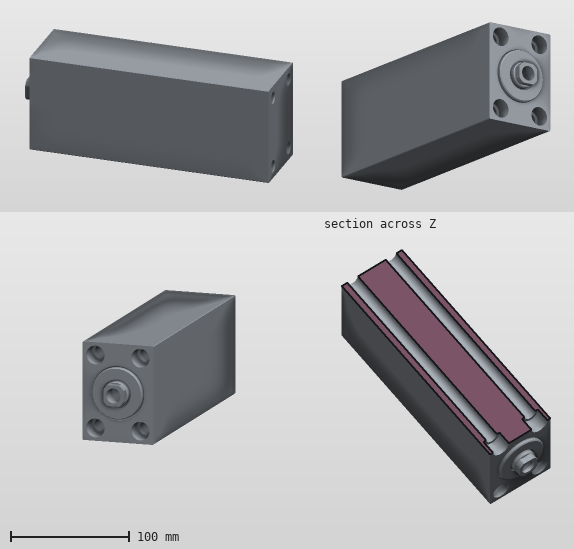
import cadquery as cq
import math

total_length = 225.0

rod_reach = 12.0
housing_width = 63.0
housing_height = 85.0
housing_length = total_length - rod_reach
edge_chamfer = 0.56

bolt_spacing_y = 40.0
bolt_spacing_z = 63.0
bolt_diameter = 10.8
bolt_head_diameter = 16.2
bolt_head_depth = 13.5

gland_diameter = 45.0
gland_reach = 3.0
gland_depth = 20.0
gland_chamfer = 1.0
pocket_chamfer = 1.0

rod_diameter = 22.0
rod_gap_diameter = 25.0
rod_gap_depth = 2.0
tip_diameter = 20.5
tip_length = 5.6
tip_across_flats = 18.0
rod_chamfer_axial = 0.7
bore_diameter = 12.8
bore_depth = 15.8
drill_point_angle = 118.0

front_x = -housing_length / 2
tip_x = front_x - rod_reach
gland_face_x = front_x - gland_reach
gland_end_x = front_x + gland_depth
shoulder_x = tip_x + tip_length


def cylinder_x(diameter, start_x, end_x):
    """Cylinder on the X axis between two stations."""
    return cq.Workplane("YZ", origin=(start_x, 0, 0)).circle(diameter / 2).extrude(end_x - start_x)


def revolve_x(profile):
    """Solid of revolution about X from (x, radius) points."""
    return cq.Workplane("XY").polyline(profile).close().revolve(360, (0, 0, 0), (1, 0, 0))


def make_housing():
    block = cq.Workplane("XY").box(housing_length, housing_width, housing_height)
    block = block.edges("|X").chamfer(edge_chamfer)
    block = (
        block.faces("<X").workplane()
        .rect(bolt_spacing_y, bolt_spacing_z, forConstruction=True).vertices()
        .cboreHole(bolt_diameter, bolt_head_diameter, bolt_head_depth)
    )
    gland_pocket = cylinder_x(gland_diameter, front_x, gland_end_x)
    lead_in = revolve_x([
        (front_x, 0),
        (front_x, gland_diameter / 2 + pocket_chamfer),
        (front_x + pocket_chamfer, gland_diameter / 2),
        (front_x + pocket_chamfer, 0),
    ])
    return block.cut(gland_pocket).cut(lead_in)


def make_gland():
    radius = gland_diameter / 2
    gland = revolve_x([
        (gland_face_x, 0),
        (gland_face_x, radius - gland_chamfer),
        (gland_face_x + gland_chamfer, radius),
        (gland_end_x, radius),
        (gland_end_x, 0),
    ])
    rod_hole = cylinder_x(rod_diameter, gland_face_x, gland_end_x)
    gap = cylinder_x(rod_gap_diameter, gland_face_x, gland_face_x + rod_gap_depth)
    return gland.cut(rod_hole).cut(gap)


def make_rod():
    shank = revolve_x([
        (shoulder_x, 0),
        (shoulder_x, tip_diameter / 2),
        (shoulder_x + rod_chamfer_axial, rod_diameter / 2),
        (gland_end_x, rod_diameter / 2),
        (gland_end_x, 0),
    ])
    flats = (
        cq.Workplane("YZ", origin=(tip_x, 0, 0))
        .rect(tip_across_flats, tip_across_flats).extrude(tip_length)
    )
    tip = cylinder_x(tip_diameter, tip_x, shoulder_x).intersect(flats)
    bore_radius = bore_diameter / 2
    bore_end_x = tip_x + bore_depth
    point_length = bore_radius / math.tan(math.radians(drill_point_angle / 2))
    bore = revolve_x([
        (tip_x, 0),
        (tip_x, bore_radius),
        (bore_end_x, bore_radius),
        (bore_end_x + point_length, 0),
    ])
    return shank.union(tip).cut(bore)


housing = make_housing()
gland = make_gland()
rod = make_rod()

result = cq.Compound.makeCompound([housing.val(), gland.val(), rod.val()])